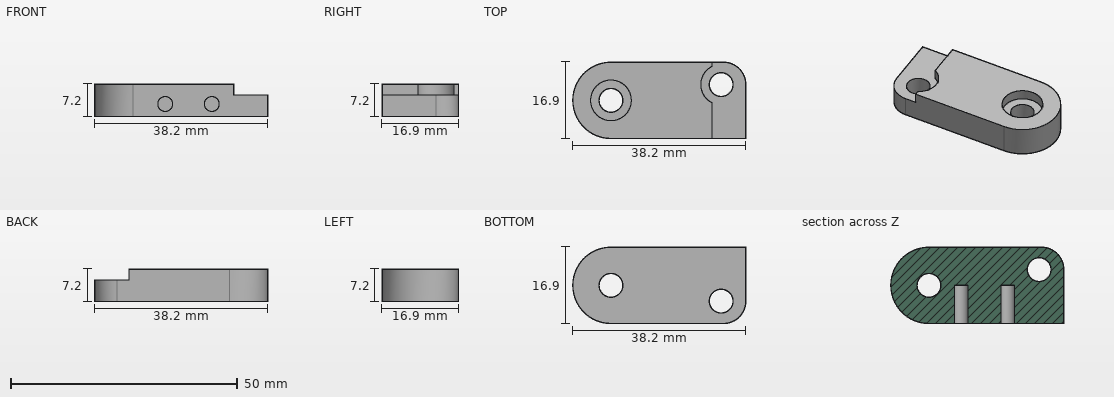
import cadquery as cq

length = 38.25
width = 16.9
height = 7.2
end_radius = width / 2
corner_radius = 4.97

screw_diameter = 5.2
seat_diameter = 9.0
seat_depth = 2.4
seat_floor = height - seat_depth
left_screw = (end_radius, width / 2)
right_screw = (32.8, 11.95)

step_x = 30.72

side_hole_diameter = 3.3
side_hole_depth = width / 2
side_hole_z = 2.8
side_hole_positions = (15.57, 25.85)


def plate():
    """Plate with a full round left end and one rounded corner at the back right."""
    body = (
        cq.Workplane("XY")
        .moveTo(end_radius, 0)
        .lineTo(length, 0)
        .lineTo(length, width)
        .lineTo(end_radius, width)
        .threePointArc((0, width / 2), (end_radius, 0))
        .close()
        .extrude(height)
    )
    return body.edges("|Z and >X and >Y").fillet(corner_radius)


def step_cut():
    """Block of material above the lowered step."""
    return cq.Workplane("XY").box(
        length - step_x, width, seat_depth, centered=False
    ).translate((step_x, 0, seat_floor))


def screw_cut(center):
    """Through hole with a flat seat for the screw head."""
    hole = cq.Workplane("XY").center(*center).circle(screw_diameter / 2).extrude(height)
    seat = (
        cq.Workplane("XY", origin=(0, 0, seat_floor))
        .center(*center)
        .circle(seat_diameter / 2)
        .extrude(seat_depth)
    )
    return hole.union(seat)


def side_hole_cut(x):
    """Flat-bottomed hole running from the front face toward the back."""
    return (
        cq.Workplane("XZ", origin=(x, 0, side_hole_z))
        .circle(side_hole_diameter / 2)
        .extrude(-side_hole_depth)
    )


result = plate().cut(step_cut())
for screw_center in (left_screw, right_screw):
    result = result.cut(screw_cut(screw_center))
for hole_x in side_hole_positions:
    result = result.cut(side_hole_cut(hole_x))